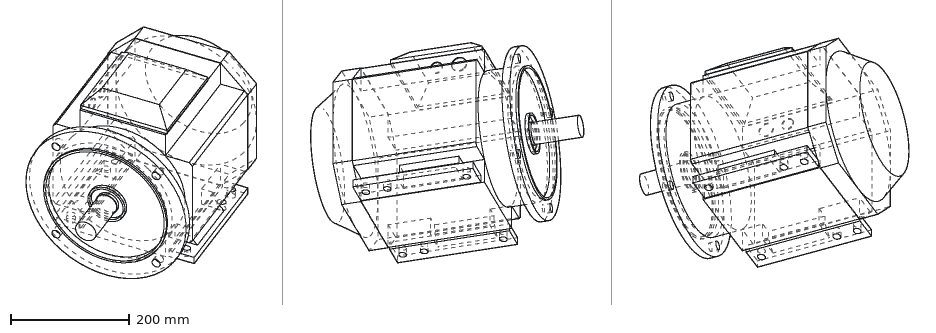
import cadquery as cq
import math


FLANGE_RADIUS = 150.0
FLANGE_THICKNESS = 14.0
BOLT_CIRCLE_RADIUS = 132.5
BOLT_HOLE_DIAMETER = 15.0
SPIGOT_RADIUS = 115.0
SPIGOT_HEIGHT = 4.0
RECESS_RADIUS = 111.0
RECESS_DEPTH = 12.0
COLLAR_RADIUS = 117.0
COLLAR_LENGTH = 52.0

SHAFT_RADIUS = 19.0
SHAFT_LENGTH = 80.0
SHOULDER_RADIUS = 20.0
HUB_RADIUS = 35.0
HUB_BORE_RADIUS = 31.0
HUB_HEIGHT = 6.0

HOUSING_HALF_WIDTH = 130.5
FLAT_HALF_WIDTH = 80.0
NOTCH_LEDGE_Z = 86.0
HOUSING_LENGTH = 218.0
COWL_HALF_WIDTH = 131.5
COWL_RING_LENGTH = 34.0
COWL_CONE_LENGTH = 49.0
COWL_END_RADIUS = 100.0

SHAFT_HEIGHT = 132.0
FOOT_THICKNESS = 13.5
FOOT_INNER_X = 84.0
FOOT_OUTER_X = 131.5
FOOT_FRONT_Y = 71.0
FOOT_LENGTH = 212.0
FOOT_SLOT_X = 108.0
FOOT_SLOT_YS = (89.0, 229.0, 267.0)
FOOT_SLOT_WIDTH = 12.0
FOOT_SLOT_LENGTH = 15.5
GUSSET_FRONT_Y = 104.0
GUSSET_LENGTH = 105.0
GUSSET_WALL_X = 103.0
GUSSET_SLOPE_RISE = 19.0

BOX_HALF_WIDTH = 81.0
BOX_CENTRE_Y = 151.0
BOX_RIM_HEIGHT = 7.0
BOX_TOP_Z = 164.5
LID_TOP_HALF_WIDTH = 53.5

KNOCKOUTS = ((111.0, 13.0), (151.0, 10.5))
KNOCKOUT_Z = 109.5
KNOCKOUT_DEPTH = 2.0

COLLAR_START_Y = FLANGE_THICKNESS
HOUSING_START_Y = COLLAR_START_Y + COLLAR_LENGTH
COWL_START_Y = HOUSING_START_Y + HOUSING_LENGTH
CONE_START_Y = COWL_START_Y + COWL_RING_LENGTH
RECESS_FLOOR_Y = RECESS_DEPTH - SPIGOT_HEIGHT
HUB_FACE_Y = RECESS_FLOOR_Y - HUB_HEIGHT
FOOT_TOP_Z = FOOT_THICKNESS - SHAFT_HEIGHT


def section_plane(y):
    """XZ plane at the given Y whose extrusions run toward +Y (local x = -X, local y = Z)."""
    return cq.Plane(origin=(0, y, 0), xDir=(-1, 0, 0), normal=(0, 1, 0))


def disc(radius, start_y, end_y):
    return cq.Workplane(section_plane(start_y)).circle(radius).extrude(end_y - start_y)


def box(x_range, y_range, z_range):
    size = [high - low for low, high in (x_range, y_range, z_range)]
    corner = (x_range[0], y_range[0], z_range[0])
    return cq.Workplane("XY").box(*size, centered=False).translate(corner)


def octagon(half_width, start_y, end_y):
    a = half_width
    b = FLAT_HALF_WIDTH
    points = [(a, -b), (a, b), (b, a), (-b, a), (-a, b), (-a, -b), (-b, -a), (b, -a)]
    return cq.Workplane(section_plane(start_y)).polyline(points).close().extrude(end_y - start_y)


def housing():
    """Octagonal frame whose four slanted corners are notched along its length."""
    body = octagon(HOUSING_HALF_WIDTH, HOUSING_START_Y, COWL_START_Y)
    across = (FLAT_HALF_WIDTH, HOUSING_HALF_WIDTH)
    along = (HOUSING_START_Y, COWL_START_Y)
    upright = (NOTCH_LEDGE_Z, HOUSING_HALF_WIDTH)
    notch = box(across, along, upright)
    upper_notches = notch.union(notch.mirror("YZ"))
    return body.cut(upper_notches).cut(upper_notches.mirror("XY"))


def cowl():
    """Octagonal ring followed by a tapered round end."""
    cone = (
        cq.Workplane(section_plane(CONE_START_Y))
        .circle(COWL_HALF_WIDTH)
        .workplane(offset=COWL_CONE_LENGTH)
        .circle(COWL_END_RADIUS)
        .loft(ruled=True)
    )
    return octagon(COWL_HALF_WIDTH, COWL_START_Y, CONE_START_Y).union(cone)


def flange_end():
    """Flange with spigot, recessed face, bearing hub, shaft and the collar to the housing."""
    body = disc(FLANGE_RADIUS, 0, COLLAR_START_Y)
    body = body.union(disc(COLLAR_RADIUS, COLLAR_START_Y, HOUSING_START_Y))
    body = body.union(disc(SPIGOT_RADIUS, -SPIGOT_HEIGHT, 0))
    body = body.cut(disc(RECESS_RADIUS, -SPIGOT_HEIGHT, RECESS_FLOOR_Y))
    bolt_offset = BOLT_CIRCLE_RADIUS * math.sqrt(2)
    bolt_holes = (
        cq.Workplane(section_plane(0))
        .rect(bolt_offset, bolt_offset, forConstruction=True)
        .vertices()
        .circle(BOLT_HOLE_DIAMETER / 2)
        .extrude(FLANGE_THICKNESS)
    )
    body = body.cut(bolt_holes)
    body = body.union(disc(HUB_RADIUS, HUB_FACE_Y, RECESS_FLOOR_Y))
    body = body.cut(disc(HUB_BORE_RADIUS, HUB_FACE_Y, RECESS_FLOOR_Y))
    body = body.union(disc(SHOULDER_RADIUS, HUB_FACE_Y, RECESS_FLOOR_Y))
    return body.union(disc(SHAFT_RADIUS, -SHAFT_LENGTH, RECESS_FLOOR_Y))


def foot():
    """Foot on the +X side: slotted pad tied to the housing by a gusset with a 45 degree slope."""
    pad = box(
        (FOOT_INNER_X, FOOT_OUTER_X),
        (FOOT_FRONT_Y, FOOT_FRONT_Y + FOOT_LENGTH),
        (-SHAFT_HEIGHT, FOOT_TOP_Z),
    )
    slots = (
        cq.Workplane("XY", origin=(0, 0, -SHAFT_HEIGHT))
        .pushPoints([(FOOT_SLOT_X, y) for y in FOOT_SLOT_YS])
        .slot2D(FOOT_SLOT_LENGTH, FOOT_SLOT_WIDTH)
        .extrude(FOOT_THICKNESS)
    )
    gusset_outline = [
        (-FLAT_HALF_WIDTH, -NOTCH_LEDGE_Z),
        (-GUSSET_WALL_X, -NOTCH_LEDGE_Z),
        (-GUSSET_WALL_X, FOOT_TOP_Z + GUSSET_SLOPE_RISE),
        (-GUSSET_WALL_X - GUSSET_SLOPE_RISE, FOOT_TOP_Z),
        (-FLAT_HALF_WIDTH, FOOT_TOP_Z),
    ]
    gusset = (
        cq.Workplane(section_plane(GUSSET_FRONT_Y))
        .polyline(gusset_outline)
        .close()
        .extrude(GUSSET_LENGTH)
    )
    return pad.cut(slots).union(gusset)


def terminal_box():
    """Square rim on top of the housing under a lid with four sloping sides."""
    lid_base_z = HOUSING_HALF_WIDTH + BOX_RIM_HEIGHT
    rim = (
        cq.Workplane("XY", origin=(0, BOX_CENTRE_Y, HOUSING_HALF_WIDTH))
        .rect(2 * BOX_HALF_WIDTH, 2 * BOX_HALF_WIDTH)
        .extrude(BOX_RIM_HEIGHT)
    )
    lid = (
        cq.Workplane("XY", origin=(0, BOX_CENTRE_Y, lid_base_z))
        .rect(2 * BOX_HALF_WIDTH, 2 * BOX_HALF_WIDTH)
        .workplane(offset=BOX_TOP_Z - lid_base_z)
        .rect(2 * LID_TOP_HALF_WIDTH, 2 * LID_TOP_HALF_WIDTH)
        .loft(ruled=True)
    )
    return rim.union(lid)


def knockouts():
    """Shallow round recesses in the -X wall below the terminal box."""
    cutters = cq.Workplane("XY")
    for y, radius in KNOCKOUTS:
        cutter = (
            cq.Workplane("YZ", origin=(-FLAT_HALF_WIDTH, y, KNOCKOUT_Z))
            .circle(radius)
            .extrude(KNOCKOUT_DEPTH)
        )
        cutters = cutters.add(cutter)
    return cutters.combine()


right_foot = foot()
result = (
    housing()
    .union(cowl())
    .union(flange_end())
    .union(right_foot)
    .union(right_foot.mirror("YZ"))
    .union(terminal_box())
    .cut(knockouts())
)